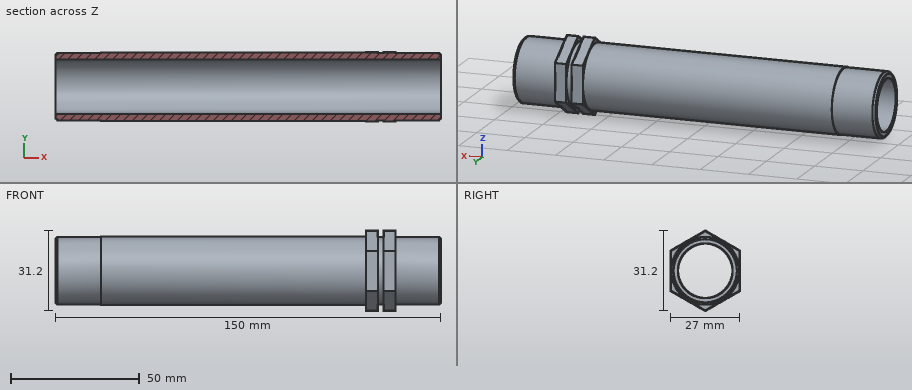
import cadquery as cq
import math

length = 150.0
body_diameter = 26.7
end_diameter = 26.4
bore_diameter = 21.2
end_length = 17.7
end_chamfer = 0.9

nut_across_flats = 27.0
nut_width = 4.6
nut_gap = 2.2

left_face = -length / 2
right_face = length / 2
outer_nut_start = right_face - end_length - nut_width
inner_nut_start = outer_nut_start - nut_gap - nut_width


def cylinder(start, end, diameter):
    """Solid cylinder along X between two X positions."""
    return cq.Workplane("YZ", origin=(start, 0, 0)).circle(diameter / 2).extrude(end - start)


def hex_nut(start):
    """Solid hexagonal prism along X, two of its corners on the Z axis."""
    across_corners = nut_across_flats / math.cos(math.pi / 6)
    nut = cq.Workplane("YZ").polygon(6, across_corners).extrude(nut_width)
    return nut.rotate((0, 0, 0), (1, 0, 0), 90).translate((start, 0, 0))


result = cylinder(left_face, right_face, end_diameter)
result = result.faces("<X or >X").chamfer(end_chamfer)

result = result.union(cylinder(left_face + end_length, inner_nut_start, body_diameter))

for nut_start in (inner_nut_start, outer_nut_start):
    result = result.union(hex_nut(nut_start))

result = result.cut(cylinder(left_face, right_face, bore_diameter))